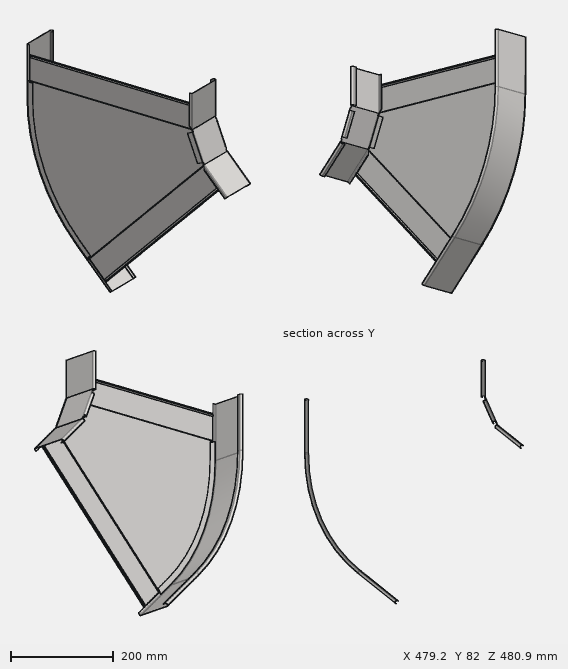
import cadquery as cq
import math


sheet = 1.0
half_angle = 22.5
bend_radius = 400.0
tray_width = 396.0
outer_straight = 116.0
inner_straight = 78.0
wall_height = 82.0
fold_radius = 2.0
hook_radius = 4.0
hook_drop = 10.0
narrow_flange = 6.5
wide_flange = 14.5
floor_clearance = 1.0
flange_step_drop = 2.5
corner_relief = 5.0
hook_relief = 9.5
joggle_length = 1.5
floor_setback = 20.5
lip_length = 2.5
bead_width = 4.0
bead_height = 1.5

end_z = outer_straight
corner_x = tray_width - bend_radius
corner_z = end_z - inner_straight
step_z = corner_z - flange_step_drop
floor_end_z = end_z - floor_setback
bead_end_z = floor_end_z - lip_length
bead_start_z = bead_end_z - bead_width

sin_half = math.sin(math.radians(half_angle))
cos_half = math.cos(math.radians(half_angle))
across_bisector = (sin_half, 0, -cos_half)
half_panel = corner_z * cos_half - corner_x * sin_half


def mirrored(half):
    """Join a half body to its mirror image in the bisecting plane."""
    return half.union(half.mirror(across_bisector)).clean()


def panel_point(along, inward):
    """X and Z of a point, from the inner wall's corner along the middle panel and in from its face."""
    return (
        corner_x + along * sin_half - inward * cos_half,
        corner_z - along * cos_half - inward * sin_half,
    )


def wall_section(x, z, inward, flange):
    """Folded section at (x, z): flange, upright wall and hooked top, for a wall facing away from inward."""
    normal = (-inward[1], 0, inward[0])
    plane = cq.Plane(origin=(x, 0, z), xDir=(inward[0], 0, inward[1]), normal=normal)
    hook_y = wall_height - hook_radius
    hook_end_y = wall_height - hook_drop
    hook_width = 2 * hook_radius
    fold_mid = fold_radius * (1 - math.sqrt(0.5))
    inner_fold_mid = fold_radius - (fold_radius - sheet) * math.sqrt(0.5)
    return (
        cq.Workplane(plane)
        .moveTo(flange, 0)
        .lineTo(fold_radius, 0)
        .threePointArc((fold_mid, fold_mid), (0, fold_radius))
        .lineTo(0, hook_y)
        .threePointArc((hook_radius, wall_height), (hook_width, hook_y))
        .lineTo(hook_width, hook_end_y)
        .lineTo(hook_width - sheet, hook_end_y)
        .lineTo(hook_width - sheet, hook_y)
        .threePointArc((hook_radius, wall_height - sheet), (sheet, hook_y))
        .lineTo(sheet, fold_radius)
        .threePointArc((inner_fold_mid, inner_fold_mid), (fold_radius, sheet))
        .lineTo(flange, sheet)
        .close()
    )


def make_outer_wall():
    """Straight ends with a narrow flange, then a curve whose wide flange carries the floor."""
    inward = (1, 0)
    end = wall_section(-bend_radius, step_z, inward, narrow_flange).extrude(end_z - step_z)
    lead_in = wall_section(-bend_radius, 0, inward, wide_flange).extrude(step_z)
    curve = wall_section(-bend_radius, 0, inward, wide_flange).revolve(
        half_angle, (bend_radius, 0), (bend_radius, -1)
    )
    return mirrored(end.union(lead_in).union(curve))


def flange_corner_cut():
    """45 degree corner taken off the flange of the inner wall's straight end."""
    return (
        cq.Workplane("XZ")
        .moveTo(corner_x - narrow_flange, corner_z)
        .lineTo(corner_x - narrow_flange, corner_z + narrow_flange)
        .lineTo(corner_x - fold_radius, corner_z + fold_radius)
        .lineTo(corner_x - fold_radius, corner_z)
        .close()
        .extrude(-sheet)
    )


def hook_relief_cut():
    """Block that takes the hook off the middle panel near its corner."""
    return (
        cq.Workplane("XZ", origin=(0, wall_height - hook_drop, 0))
        .moveTo(*panel_point(corner_relief, sheet))
        .lineTo(*panel_point(hook_relief, sheet))
        .lineTo(*panel_point(hook_relief, 2 * hook_radius))
        .lineTo(*panel_point(corner_relief, 2 * hook_radius))
        .close()
        .extrude(-hook_drop)
    )


def make_inner_wall():
    """Two straight ends and a middle panel, joined at the corners by the upright sheet alone."""
    end = wall_section(corner_x, end_z, (-1, 0), narrow_flange).extrude(inner_straight)
    end = end.cut(flange_corner_cut())

    panel_x, panel_z = panel_point(corner_relief, 0)
    panel = wall_section(panel_x, panel_z, (-cos_half, -sin_half), wide_flange)
    panel = panel.extrude(half_panel - corner_relief).cut(hook_relief_cut())

    miter_drop = sheet * math.tan(math.radians(half_angle / 2))
    corner = (
        cq.Workplane("XZ", origin=(0, fold_radius, 0))
        .moveTo(corner_x, corner_z + corner_relief)
        .lineTo(corner_x, corner_z)
        .lineTo(*panel_point(corner_relief, 0))
        .lineTo(*panel_point(corner_relief, sheet))
        .lineTo(corner_x - sheet, corner_z - miter_drop)
        .lineTo(corner_x - sheet, corner_z + corner_relief)
        .close()
        .extrude(fold_radius + hook_radius - wall_height)
    )
    return mirrored(end.union(corner).union(panel))


def floor_middle():
    """Half of the flat middle of the floor, resting on the wide flanges and clear of the wall folds."""
    edge_radius = bend_radius - fold_radius
    mid_angle = math.radians(half_angle / 2)
    corner_shift = fold_radius * math.tan(mid_angle)
    return (
        cq.Workplane("XZ", origin=(0, sheet, 0))
        .moveTo(-edge_radius, corner_z)
        .lineTo(-edge_radius, 0)
        .threePointArc(
            (-edge_radius * math.cos(mid_angle), -edge_radius * math.sin(mid_angle)),
            (-edge_radius * cos_half, -edge_radius * sin_half),
        )
        .lineTo(*panel_point(half_panel, fold_radius))
        .lineTo(corner_x - fold_radius, corner_z - corner_shift)
        .lineTo(corner_x - fold_radius, corner_z)
        .close()
        .extrude(-sheet)
    )


def floor_end():
    """End strip of the floor, stepped down level with the wall flanges, with a bead near its free edge."""
    side_gap = narrow_flange + floor_clearance
    left_x = side_gap - bend_radius
    right_x = corner_x - side_gap
    joggle_end_z = corner_z + joggle_length
    bead_mid_z = (bead_start_z + bead_end_z) / 2
    strip = (
        cq.Workplane("YZ", origin=(left_x, 0, 0))
        .moveTo(sheet, corner_z)
        .lineTo(0, joggle_end_z)
        .lineTo(0, bead_start_z)
        .threePointArc((bead_height, bead_mid_z), (0, bead_end_z))
        .lineTo(0, floor_end_z)
        .lineTo(sheet, floor_end_z)
        .lineTo(sheet, bead_end_z)
        .threePointArc((sheet + bead_height, bead_mid_z), (sheet, bead_start_z))
        .lineTo(sheet, joggle_end_z)
        .lineTo(2 * sheet, corner_z)
        .close()
        .extrude(corner_x - fold_radius - left_x)
    )
    beside_flange = (
        cq.Workplane("XZ")
        .moveTo(right_x, end_z)
        .lineTo(right_x, corner_z + side_gap)
        .lineTo(corner_x, corner_z)
        .lineTo(corner_x, end_z)
        .close()
        .extrude(-wall_height)
    )
    return strip.cut(beside_flange)


def make_floor():
    return mirrored(floor_middle().union(floor_end()))


outer_wall = make_outer_wall()
inner_wall = make_inner_wall()
floor = make_floor()

result = cq.Compound.makeCompound([outer_wall.val(), inner_wall.val(), floor.val()])